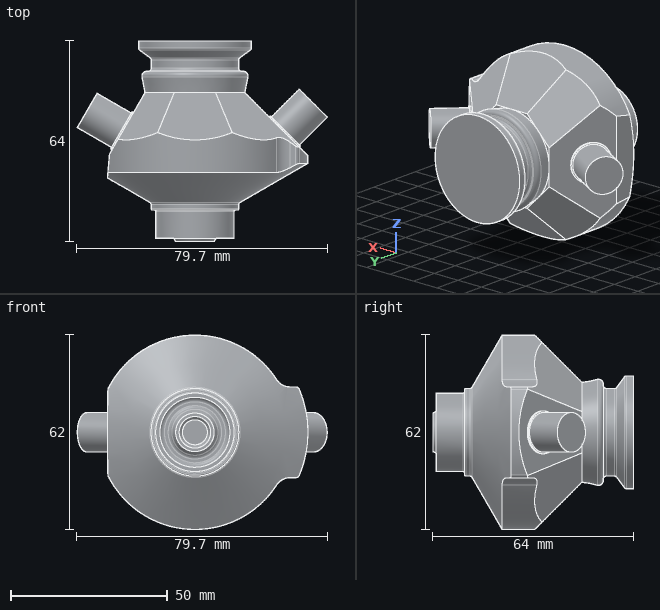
import cadquery as cq
import math

LENGTH = 64.0

TIP_RADIUS = 6.1
TIP_BASE_RADIUS = 7.7
TIP_BASE_ROUND = 1.35
DIMPLE_RADIUS = 5.0
DIMPLE_FLOOR_RADIUS = 4.0
DIMPLE_WALL_DEPTH = 1.1
DIMPLE_DEPTH = 2.15
SLEEVE_START = 1.0
SLEEVE_RADIUS = 12.5
CUP_RIM_RADIUS = 11.15
CUP_ROUND = 1.4
CUP_FLOOR_Y = 2.8

NECK_RADIUS = 28.0 / 2
COLLAR_START = 10.0
COLLAR_ROUND = 0.5
SLEEVE_ROUND = 0.4
CONE_ROUND = 0.8

BODY_RADIUS = 31.0
BODY_EDGE_Y = 22.1
FRONT_SLOPE = math.tan(math.radians(30))
LUG_RADIUS = 36.0
LUG_HALF_WIDTH = 14.5
LUG_STOCK = LUG_RADIUS + 0.8
LUG_INNER_ROUND = 5.0
LUG_OUTER_ROUND = 1.4
BODY_REAR_Y = 47.5
REAR_APOTHEM = 15.9
FACET_COUNT = 8
FACET_ANGLE = 45.0
STEEP_FACET_ANGLE = 30.0
FLAT_X = -27.25
FLAT_Y = 27.9
FLAT_TILT = 5.0

REAR_COLLAR_RADIUS = 17.3
REAR_COLLAR_END = 54.3
REAR_COLLAR_ROUND = 1.6
NECK_ROUND = 0.95
FLANGE_RADIUS = 36.0 / 2
FLANGE_CONE_START = 58.3
FLANGE_CONE_END = 61.25
FLANGE_ROUND = 0.8

PIPE_RADIUS = 12.7 / 2
PIPE_RING_RADIUS = 6.85
PIPE_RING_HEIGHT = 0.5
PIPE_SINK = 2.4
LEFT_PIPE_END = (-34.3, 41.8)
RIGHT_PIPE_END = (37.7, 44.1)

CUTTER = 159.3


def revolve_rounded(corners):
    """Revolve (radius, y, corner round) points about Y, replacing rounded corners by arcs."""
    profile = None
    for i, (r, y, rounding) in enumerate(corners):
        corner = cq.Vector(r, y)
        if rounding == 0:
            profile = cq.Workplane("XY").moveTo(r, y) if profile is None else profile.lineTo(r, y)
            continue
        to_last = (cq.Vector(*corners[i - 1][:2]) - corner).normalized()
        to_next = (cq.Vector(*corners[i + 1][:2]) - corner).normalized()
        half_angle = to_last.getAngle(to_next) / 2
        setback = rounding / math.tan(half_angle)
        arc_start = corner + to_last * setback
        arc_end = corner + to_next * setback
        bulge = rounding / math.sin(half_angle) - rounding
        arc_middle = corner + (to_last + to_next).normalized() * bulge
        profile = profile.lineTo(arc_start.x, arc_start.y)
        profile = profile.threePointArc((arc_middle.x, arc_middle.y), (arc_end.x, arc_end.y))
    return profile.close().revolve(360, (0, 0, 0), (0, 1, 0))


def front_cone_y(radius):
    return BODY_EDGE_Y + (radius - BODY_RADIUS) * FRONT_SLOPE


def make_front():
    """Nozzle, collar and a full drum out to the lug radius."""
    return revolve_rounded([
        (0, DIMPLE_DEPTH, 0),
        (DIMPLE_FLOOR_RADIUS, DIMPLE_DEPTH, 0),
        (DIMPLE_RADIUS, DIMPLE_WALL_DEPTH, 0),
        (DIMPLE_RADIUS, 0, 0),
        (TIP_RADIUS, 0, 0),
        (TIP_BASE_RADIUS, CUP_FLOOR_Y, TIP_BASE_ROUND),
        (CUP_RIM_RADIUS, CUP_FLOOR_Y, CUP_ROUND),
        (CUP_RIM_RADIUS, SLEEVE_START, 0),
        (SLEEVE_RADIUS, SLEEVE_START, 0),
        (SLEEVE_RADIUS, COLLAR_START, SLEEVE_ROUND),
        (NECK_RADIUS, COLLAR_START, COLLAR_ROUND),
        (NECK_RADIUS, front_cone_y(NECK_RADIUS), CONE_ROUND),
        (LUG_RADIUS, front_cone_y(LUG_RADIUS), 0),
        (LUG_RADIUS, BODY_REAR_Y, 0),
        (0, BODY_REAR_Y, 0),
    ])


def make_rear():
    return revolve_rounded([
        (0, BODY_REAR_Y, 0),
        (REAR_APOTHEM, BODY_REAR_Y, 0),
        (REAR_COLLAR_RADIUS, REAR_COLLAR_END, REAR_COLLAR_ROUND),
        (NECK_RADIUS, REAR_COLLAR_END, NECK_ROUND),
        (NECK_RADIUS, FLANGE_CONE_START, FLANGE_ROUND),
        (FLANGE_RADIUS, FLANGE_CONE_END, FLANGE_ROUND),
        (FLANGE_RADIUS, LENGTH, 0),
        (0, LENGTH, 0),
    ])


def round_bar(radius):
    return cq.Workplane("XZ").circle(radius).extrude(-BODY_REAR_Y)


def make_body_outline():
    """Prism along Y: a round body with the filleted side lug."""
    lug = (
        cq.Workplane("XZ")
        .rect(LUG_STOCK, 2 * LUG_HALF_WIDTH)
        .extrude(-BODY_REAR_Y)
        .translate((LUG_STOCK / 2, 0, 0))
        .intersect(round_bar(LUG_RADIUS))
    )
    inner_x = math.sqrt(BODY_RADIUS**2 - LUG_HALF_WIDTH**2)
    outer_x = math.sqrt(LUG_RADIUS**2 - LUG_HALF_WIDTH**2)
    outline = round_bar(BODY_RADIUS).union(lug)
    for x, rounding in ((inner_x, LUG_INNER_ROUND), (outer_x, LUG_OUTER_ROUND)):
        for z in (-LUG_HALF_WIDTH, LUG_HALF_WIDTH):
            edge = cq.selectors.NearestToPointSelector((x, BODY_REAR_Y / 2, z))
            outline = outline.edges("|Y").edges(edge).fillet(rounding)
    return outline


def half_space(point, normal):
    """Large block lying on the outer side of a plane."""
    plane = cq.Plane(origin=point, normal=normal)
    return cq.Workplane(plane).rect(CUTTER, CUTTER).extrude(CUTTER)


def cut_facets(body):
    """Cut the eight rear facets; the one facing -X is steeper and ends in a tilted flat."""
    for i in range(FACET_COUNT):
        turn = 2 * math.pi * i / FACET_COUNT
        slope = STEEP_FACET_ANGLE if 2 * i == FACET_COUNT else FACET_ANGLE
        slope = math.radians(slope)
        out_x = math.cos(turn)
        out_z = math.sin(turn)
        point = (REAR_APOTHEM * out_x, BODY_REAR_Y, REAR_APOTHEM * out_z)
        normal = (math.cos(slope) * out_x, math.sin(slope), math.cos(slope) * out_z)
        body = body.cut(half_space(point, normal))
    tilt = math.radians(FLAT_TILT)
    return body.cut(half_space((FLAT_X, FLAT_Y, 0), (-math.cos(tilt), math.sin(tilt), 0)))


def make_pipe(end, side, facet_angle):
    """Pipe square to its facet, with a low ring at its foot; side is -1 for -X, 1 for +X."""
    angle = math.radians(facet_angle)
    axis = cq.Vector(side * math.cos(angle), math.sin(angle), 0)
    facet_point = cq.Vector(side * REAR_APOTHEM, BODY_REAR_Y, 0)
    height = (cq.Vector(*end) - facet_point).dot(axis)
    foot = cq.Vector(*end) - axis * (height + PIPE_SINK)
    plane = cq.Plane(origin=foot.toTuple(), xDir=(0, 0, 1), normal=axis.toTuple())
    pipe = cq.Workplane(plane).circle(PIPE_RADIUS).extrude(height + PIPE_SINK)
    ring = cq.Workplane(plane).circle(PIPE_RING_RADIUS).extrude(PIPE_RING_HEIGHT + PIPE_SINK)
    return pipe.union(ring)


body = cut_facets(make_front().intersect(make_body_outline()))
result = (
    body.union(make_rear())
    .union(make_pipe(LEFT_PIPE_END, -1, STEEP_FACET_ANGLE))
    .union(make_pipe(RIGHT_PIPE_END, 1, FACET_ANGLE))
)